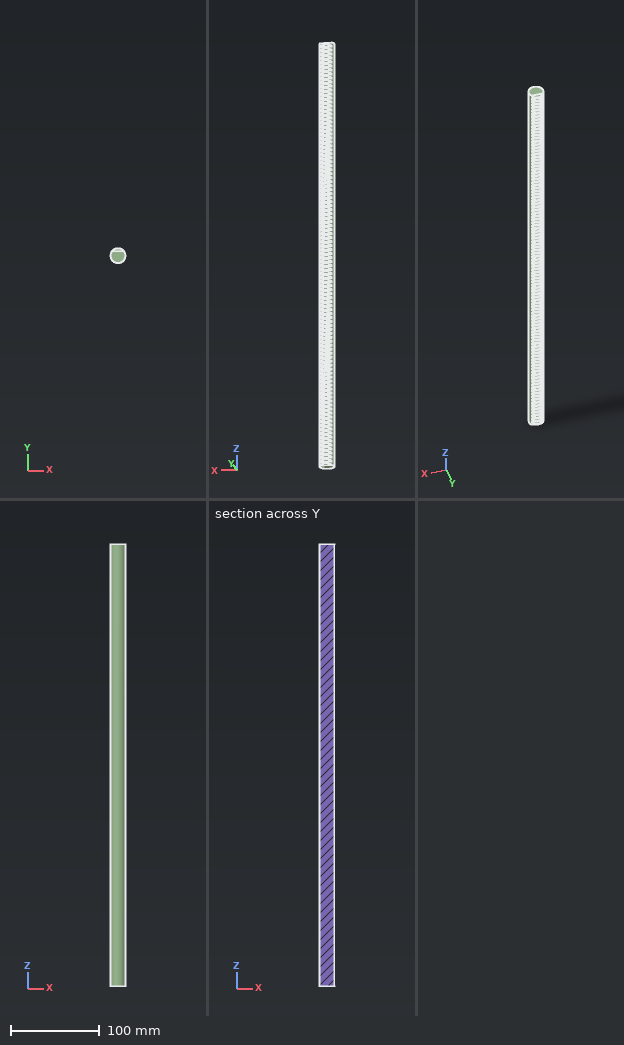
import cadquery as cq
import math

MODULE = 1.5
TOOTH_COUNT = 106
PRESSURE_ANGLE = math.radians(20)
BAR_DIAMETER = 17.0
BAR_LENGTH = 499.09
DEDENDUM_FACTOR = 1.25
CUT_CLEARANCE = 1.0

BAR_RADIUS = BAR_DIAMETER / 2
PITCH = math.pi * MODULE
PITCH_LINE_Y = BAR_RADIUS - MODULE
ROOT_Y = PITCH_LINE_Y - DEDENDUM_FACTOR * MODULE
CUT_TOP_Y = BAR_RADIUS + CUT_CLEARANCE
CUT_HALF_LENGTH = BAR_RADIUS + CUT_CLEARANCE


def gap_half_width(y):
    """Half the gap width along Z at height y; it is a quarter pitch at the pitch line."""
    return PITCH / 4 + (y - PITCH_LINE_Y) * math.tan(PRESSURE_ANGLE)


def make_bar():
    """Plain round bar along Z, standing on Z = 0."""
    return cq.Workplane("XY").circle(BAR_RADIUS).extrude(BAR_LENGTH)


def tooth_gap(center_z):
    """Trapezoidal cutter running straight across the bar in X."""
    root_half = gap_half_width(ROOT_Y)
    top_half = gap_half_width(CUT_TOP_Y)
    outline = [
        (ROOT_Y, center_z - root_half),
        (ROOT_Y, center_z + root_half),
        (CUT_TOP_Y, center_z + top_half),
        (CUT_TOP_Y, center_z - top_half),
    ]
    return cq.Workplane("YZ").polyline(outline).close().extrude(CUT_HALF_LENGTH, both=True).val()


def cut_teeth(bar):
    """Cut evenly spaced gaps centred on the bar, with a part gap at each end."""
    first_gap_z = (BAR_LENGTH - TOOTH_COUNT * PITCH) / 2
    gaps = [tooth_gap(first_gap_z + index * PITCH) for index in range(TOOTH_COUNT + 1)]
    return cq.Workplane(bar.val().cut(*gaps))


result = cut_teeth(make_bar())